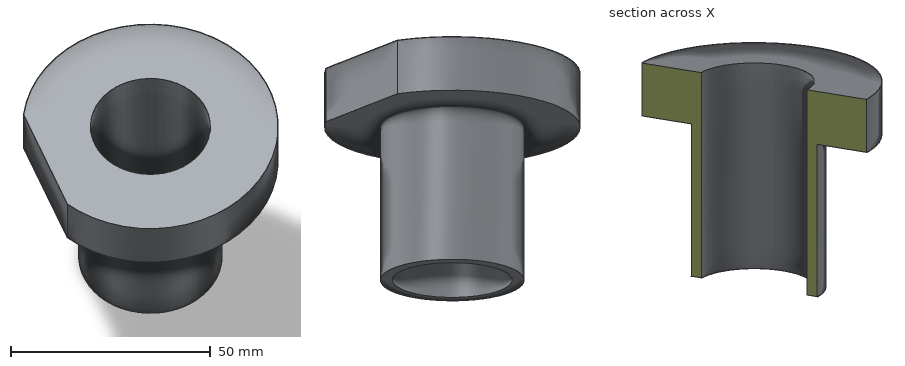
import cadquery as cq

flange_diameter = 64.0
flange_thickness = 14.0
sleeve_diameter = 36.0
sleeve_length = 40.0
bore_diameter = 30.0
flat_distance = 28.2
flat_direction = 180.0 + 57.0

total_height = sleeve_length + flange_thickness


def make_flange():
    """Disc on top of the sleeve, with one flat cut into its rim."""
    disc = (
        cq.Workplane("XY")
        .workplane(offset=sleeve_length)
        .circle(flange_diameter / 2)
        .extrude(flange_thickness)
    )
    cutter = (
        cq.Workplane("XY")
        .box(flange_diameter, flange_diameter, total_height, centered=(False, True, False))
        .translate((flat_distance, 0, 0))
        .rotate((0, 0, 0), (0, 0, 1), flat_direction)
    )
    return disc.cut(cutter)


sleeve = cq.Workplane("XY").circle(sleeve_diameter / 2).extrude(sleeve_length)
bore = cq.Workplane("XY").circle(bore_diameter / 2).extrude(total_height)

result = sleeve.union(make_flange()).cut(bore)